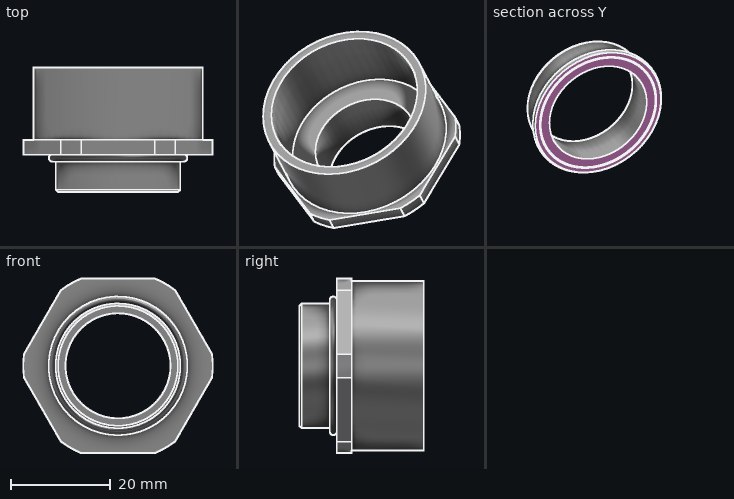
import cadquery as cq

spigot_length = 7.5
spigot_diameter = 25.0
spigot_chamfer = 0.5

flange_thickness = 3.0
flange_across_flats = 35.0
flange_corner_diameter = 38.0
flange_turn = 30.0

body_diameter = 34.0
total_length = 25.0

bore_diameter = 21.0
socket_diameter = 30.5
socket_floor = 10.0

ring_section_diameter = 1.5
ring_protrusion = 1.4

flange_end = spigot_length + flange_thickness


def cylinder(diameter, start, end):
    """Cylinder about the Y axis from Y = start to Y = end."""
    return cq.Workplane("XZ", origin=(0, start, 0)).circle(diameter / 2).extrude(start - end)


def make_spigot():
    """Plain spigot with a chamfered free end."""
    return cylinder(spigot_diameter, 0, spigot_length).faces("<Y").chamfer(spigot_chamfer)


def make_flange():
    """Hexagonal flange with its corners turned round."""
    hexagon = (
        cq.Workplane("XZ", origin=(0, spigot_length, 0))
        .polygon(6, flange_across_flats, circumscribed=True)
        .extrude(-flange_thickness)
        .rotate((0, 0, 0), (0, 1, 0), flange_turn)
    )
    return hexagon.intersect(cylinder(flange_corner_diameter, spigot_length, flange_end))


def make_body():
    """Round body behind the flange."""
    return cylinder(body_diameter, flange_end, total_length)


def make_sealing_ring():
    """O-ring seated in the corner between spigot and flange, sunk slightly into both."""
    section_radius = ring_section_diameter / 2
    centre_offset = ring_protrusion - section_radius
    centre_radius = spigot_diameter / 2 + centre_offset
    centre_y = spigot_length - centre_offset
    return (
        cq.Workplane("YX")
        .moveTo(centre_y, centre_radius)
        .circle(section_radius)
        .revolve(360, (0, 0, 0), (1, 0, 0))
    )


def make_passage():
    """Through bore that widens into the socket inside the body."""
    bore = cylinder(bore_diameter, 0, total_length)
    socket = cylinder(socket_diameter, socket_floor, total_length)
    return bore.union(socket)


result = (
    make_spigot()
    .union(make_flange())
    .union(make_body())
    .union(make_sealing_ring())
    .cut(make_passage())
)